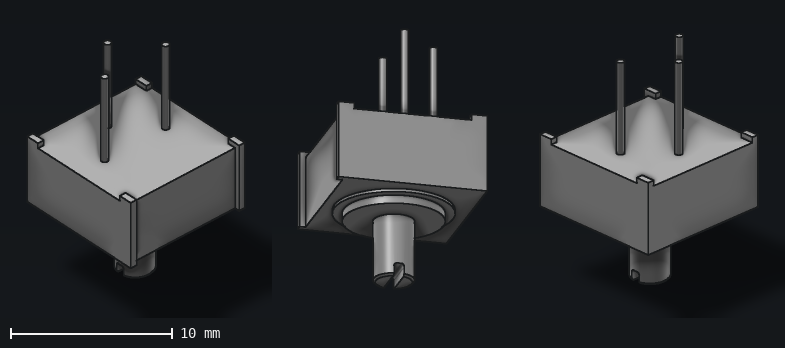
import cadquery as cq

BODY_SIDE = 9.54
BASE_THICKNESS = 4.6
RECESS_DEPTH = 0.38

FOOT_X = 1.0
FOOT_Y = 0.49
FOOT_HEIGHT = 0.38

AXIS_X = -0.08

FLANGE_DIAMETER = 7.6
FLANGE_THICKNESS = 0.2
COLLAR_DIAMETER = 6.38
COLLAR_THICKNESS = 0.53
SHAFT_DIAMETER = 2.6
SHAFT_CHAMFER = 0.14
SLOT_WIDTH = 0.65
SLOT_DEPTH = 0.8
SLOT_CORNER_RADIUS = 0.19

PIN_DIAMETER = 0.5
PIN_LENGTH = 6.35
PIN_PITCH = 2.55

TOTAL_HEIGHT = 15.71
SHAFT_LENGTH = TOTAL_HEIGHT - PIN_LENGTH - BASE_THICKNESS - FLANGE_THICKNESS - COLLAR_THICKNESS

FLANGE_BOTTOM = -FLANGE_THICKNESS
COLLAR_BOTTOM = FLANGE_BOTTOM - COLLAR_THICKNESS
SHAFT_BOTTOM = COLLAR_BOTTOM - SHAFT_LENGTH


def make_body():
    """Square base with four corner feet and a recessed +X face."""
    base = cq.Workplane("XY").box(BODY_SIDE, BODY_SIDE, BASE_THICKNESS, centered=(True, True, False))
    feet = (
        cq.Workplane("XY", origin=(0, 0, BASE_THICKNESS))
        .rect(BODY_SIDE - FOOT_X, BODY_SIDE - FOOT_Y, forConstruction=True)
        .vertices()
        .rect(FOOT_X, FOOT_Y)
        .extrude(FOOT_HEIGHT)
    )
    recess = (
        cq.Workplane("XY")
        .center(BODY_SIDE / 2, 0)
        .rect(2 * RECESS_DEPTH, BODY_SIDE - 2 * FOOT_Y)
        .extrude(BASE_THICKNESS)
    )
    return base.cut(recess).union(feet)


def make_disc(diameter, bottom, thickness):
    """Round disc on the rotor axis."""
    return cq.Workplane("XY", origin=(AXIS_X, 0, bottom)).circle(diameter / 2).extrude(thickness)


def make_shaft():
    """Chamfered shaft with a screwdriver slot along Y in its lower end."""
    shaft = make_disc(SHAFT_DIAMETER, SHAFT_BOTTOM, SHAFT_LENGTH).faces("<Z").chamfer(SHAFT_CHAMFER)
    slot = (
        cq.Workplane("XY", origin=(AXIS_X, 0, SHAFT_BOTTOM))
        .rect(SLOT_WIDTH, SHAFT_DIAMETER)
        .extrude(SLOT_DEPTH)
        .edges("|Y and >Z")
        .fillet(SLOT_CORNER_RADIUS)
    )
    return shaft.cut(slot)


def make_pins():
    """Three round pins on top of the base, the middle one stepped toward -X."""
    pin_centres = [
        (AXIS_X, PIN_PITCH),
        (AXIS_X - PIN_PITCH, 0),
        (AXIS_X, -PIN_PITCH),
    ]
    return (
        cq.Workplane("XY", origin=(0, 0, BASE_THICKNESS))
        .pushPoints(pin_centres)
        .circle(PIN_DIAMETER / 2)
        .extrude(PIN_LENGTH)
    )


flange = make_disc(FLANGE_DIAMETER, FLANGE_BOTTOM, FLANGE_THICKNESS)
collar = make_disc(COLLAR_DIAMETER, COLLAR_BOTTOM, COLLAR_THICKNESS)

result = make_body().union(flange).union(collar).union(make_shaft()).union(make_pins())